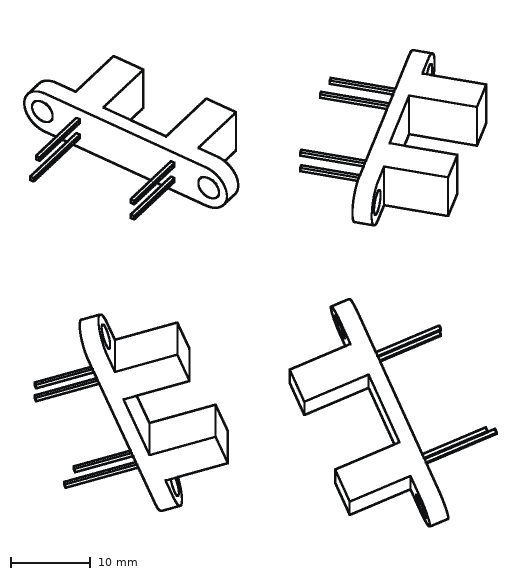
import cadquery as cq

length = 31.0
height = 6.35
flange_thickness = 2.5

hole_diameter = 3.15
hole_spacing = 25.4

arms_width = 18.75
slot_width = 9.6
slot_floor = 2.0
arm_tip = 10.82

lead_size = 0.55
lead_spacing_x = 14.47
lead_spacing_z = 2.55
short_lead = 8.85
long_lead = 10.13


def box_along_y(x, z, size_x, size_z, y_start, y_end):
    """Box centred on (x, z) that spans y_start to y_end."""
    return (
        cq.Workplane("XY")
        .box(size_x, y_end - y_start, size_z, centered=(True, False, True))
        .translate((x, y_start, z))
    )


def make_housing():
    flange = cq.Workplane("XZ").slot2D(length, height).extrude(-flange_thickness)
    arms = box_along_y(0, 0, arms_width, height, 0, arm_tip)
    slot = box_along_y(0, 0, slot_width, height, slot_floor, arm_tip)
    holes = (
        cq.Workplane("XZ")
        .pushPoints([(-hole_spacing / 2, 0), (hole_spacing / 2, 0)])
        .circle(hole_diameter / 2)
        .extrude(-flange_thickness)
    )
    return flange.union(arms).cut(slot).cut(holes)


result = make_housing()

for side_x in (-1, 1):
    for side_z in (-1, 1):
        is_long = side_x < 0 and side_z < 0
        lead_length = long_lead if is_long else short_lead
        lead = box_along_y(
            side_x * lead_spacing_x / 2,
            side_z * lead_spacing_z / 2,
            lead_size,
            lead_size,
            -lead_length,
            0,
        )
        result = result.union(lead)